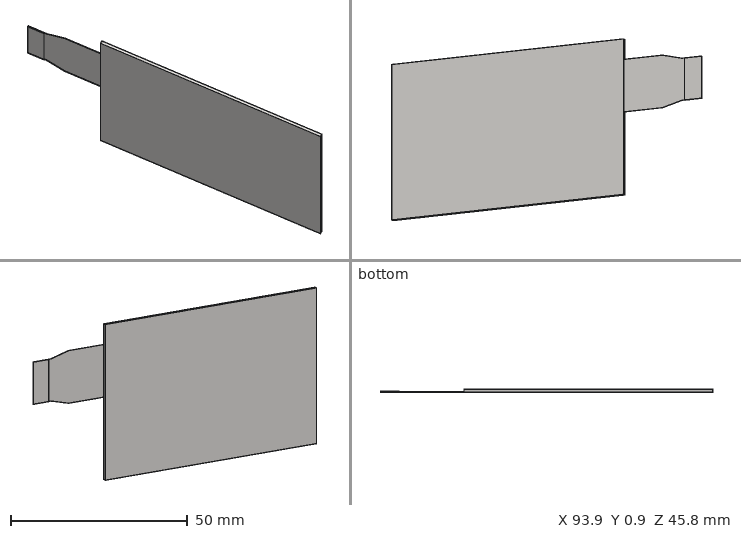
import cadquery as cq

overall_length = 93.9
panel_length = 70.3
panel_height = 45.8
panel_thickness = 0.9

tail_length = overall_length - panel_length
tail_thickness = 0.21
tail_width = 15.5
tail_tip_width = 12.4
tail_center_z = 9.1
taper_start = 5.9
taper_end = 11.8

stiffener_length = 5.2
stiffener_thickness = 0.2

tail_front_y = panel_thickness - tail_thickness


def make_panel():
    """Flat rectangular display panel."""
    return cq.Workplane("XY").box(
        panel_length, panel_thickness, panel_height, centered=(False, False, True)
    ).translate((tail_length, 0, 0))


def make_tail():
    """Thin tail that narrows towards its free end."""
    half_width = tail_width / 2
    half_tip = tail_tip_width / 2
    outline = [
        (0, -half_tip),
        (taper_start, -half_tip),
        (taper_end, -half_width),
        (tail_length, -half_width),
        (tail_length, half_width),
        (taper_end, half_width),
        (taper_start, half_tip),
        (0, half_tip),
    ]
    return (
        cq.Workplane("XZ")
        .polyline(outline)
        .close()
        .extrude(-tail_thickness)
        .translate((0, tail_front_y, tail_center_z))
    )


def make_stiffener():
    """Backing strip, as wide as the tail tip, resting on the tail's front face."""
    return cq.Workplane("XY").box(
        stiffener_length, stiffener_thickness, tail_tip_width, centered=(False, False, True)
    ).translate((0, tail_front_y - stiffener_thickness, tail_center_z))


panel = make_panel()
tail = make_tail()
stiffener = make_stiffener()

result = cq.Compound.makeCompound([panel.val(), tail.val(), stiffener.val()])